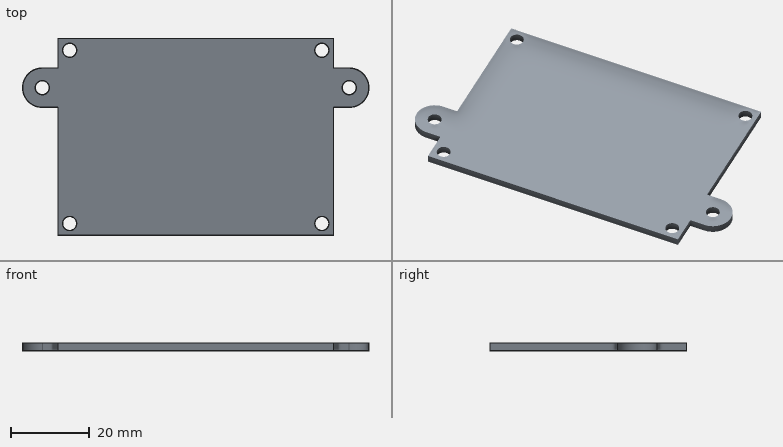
import cadquery as cq

overall_length = 88.0
plate_length = 70.05
plate_width = 50.0
thickness = 2.0

ear_width = 10.0
ear_offset_y = 12.5

hole_diameter = 3.5
corner_hole_inset = 3.0

ear_hole_x = overall_length / 2 - ear_width / 2
corner_hole_x = plate_length / 2 - corner_hole_inset
corner_hole_y = plate_width / 2 - corner_hole_inset

plate = cq.Workplane("XY").box(plate_length, plate_width, thickness, centered=(True, True, False))

ears = (
    cq.Workplane("XY")
    .center(0, ear_offset_y)
    .slot2D(overall_length, ear_width)
    .extrude(thickness)
)

hole_centers = [(side * ear_hole_x, ear_offset_y) for side in (-1, 1)]
for side_x in (-1, 1):
    for side_y in (-1, 1):
        hole_centers.append((side_x * corner_hole_x, side_y * corner_hole_y))

holes = (
    cq.Workplane("XY")
    .pushPoints(hole_centers)
    .circle(hole_diameter / 2)
    .extrude(thickness)
)

result = plate.union(ears).cut(holes)